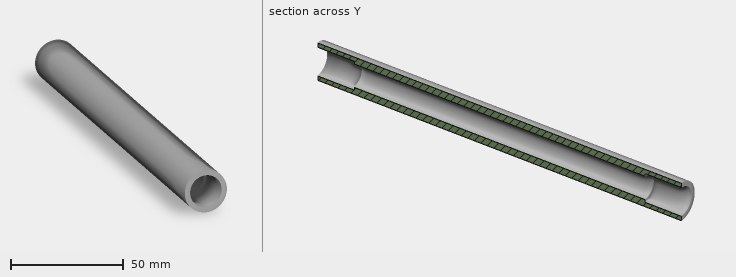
import cadquery as cq

length = 200.0
outer_diameter = 19.8
bore_diameter = 12.0
counterbore_diameter = 14.8
counterbore_depth = 20.0


def cylinder_along_x(diameter, start, extent):
    """Solid cylinder on the X axis, starting at the given X position."""
    return cq.Workplane("YZ", origin=(start, 0, 0)).circle(diameter / 2).extrude(extent)


left_end = -length / 2
right_end = length / 2
tube = cylinder_along_x(outer_diameter, left_end, length)
tube = tube.cut(cylinder_along_x(bore_diameter, left_end, length))

for start in (left_end, right_end - counterbore_depth):
    tube = tube.cut(cylinder_along_x(counterbore_diameter, start, counterbore_depth))

result = tube